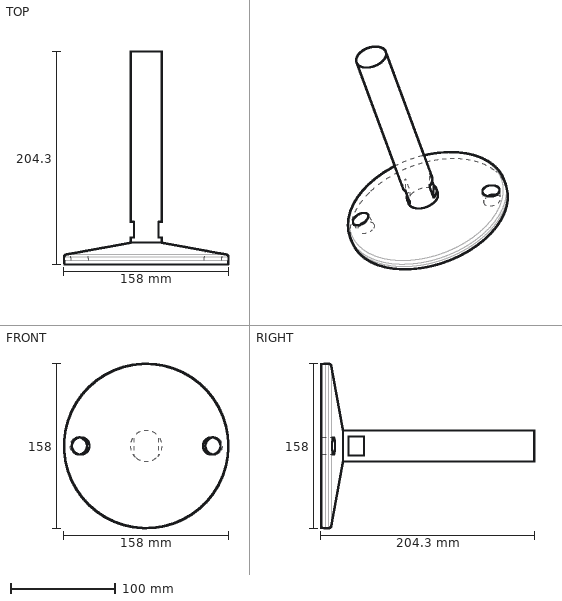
import cadquery as cq
import math

plate_diameter = 157.98
underside_diameter = 157.2
lower_rim_height = 4.0
upper_rim_height = 7.0
rim_fillet_radius = 2.8
cone_angle = 10.3

stem_diameter = 30.0
total_length = 204.3

across_flats = 23.6
flats_start = 26.0
flats_length = 15.0

hole_diameter = 16.5
hole_offset = 62.8
cutter_length = 60.0

plate_radius = plate_diameter / 2
stem_radius = stem_diameter / 2
slope = math.radians(cone_angle)


def rim_arc_point(angle):
    """Point on the rim fillet at an angle measured from the radial direction."""
    centre_radius = plate_radius - rim_fillet_radius
    return (
        centre_radius + rim_fillet_radius * math.cos(angle),
        upper_rim_height + rim_fillet_radius * math.sin(angle),
    )


def make_body():
    """Plate and stem as one profile revolved about the Y axis."""
    arc_end_angle = math.pi / 2 - slope
    cone_radius, cone_base = rim_arc_point(arc_end_angle)
    cone_top = cone_base + (cone_radius - stem_radius) * math.tan(slope)
    return (
        cq.Workplane("XY")
        .moveTo(0, 0)
        .lineTo(underside_diameter / 2, 0)
        .lineTo(plate_radius, lower_rim_height)
        .lineTo(plate_radius, upper_rim_height)
        .threePointArc(rim_arc_point(arc_end_angle / 2), (cone_radius, cone_base))
        .lineTo(stem_radius, cone_top)
        .lineTo(stem_radius, total_length)
        .lineTo(0, total_length)
        .close()
        .revolve(360, (0, 0, 0), (0, 1, 0))
    )


def make_flat_cutter(side):
    """Block that cuts one wrench flat; side is -1 or +1 along X."""
    flat_centre = flats_start + flats_length / 2
    return cq.Workplane("XY").box(stem_radius, flats_length, stem_diameter).translate(
        (side * (across_flats + stem_radius) / 2, flat_centre, 0)
    )


def make_hole_cutter(side):
    """Cylinder for one mounting hole, leaning outward towards +Y."""
    centre = cq.Vector(side * hole_offset, 0, 0)
    axis = cq.Vector(side * math.sin(slope), math.cos(slope), 0)
    start = centre - axis * (cutter_length / 2)
    return cq.Solid.makeCylinder(hole_diameter / 2, cutter_length, start, axis)


result = make_body()
for side in (-1, 1):
    result = result.cut(make_flat_cutter(side))
    result = result.cut(make_hole_cutter(side))